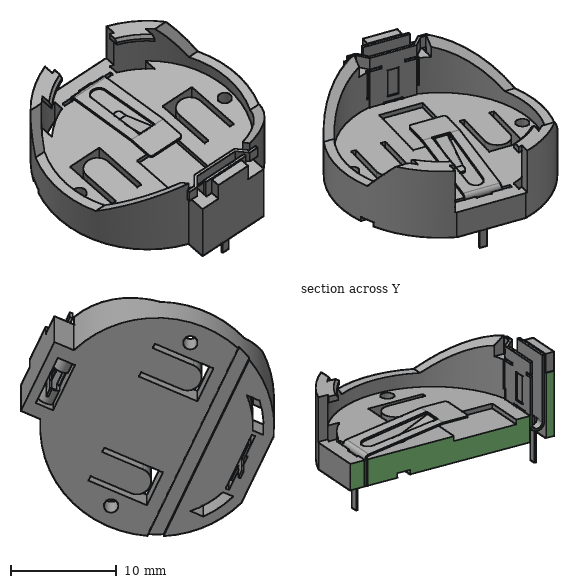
import cadquery as cq
import math


outer_radius = 22.2 / 2
inner_radius = 20.17 / 2
floor_z = 2.82
rim_low_z = 4.28
rim_left_z = 7.49
rim_right_z = 8.82
overall_length = 22.9
left_flat_x = -10.47
right_end_x = left_flat_x + overall_length
left_slope_top_x = -7.15
left_slope_foot_x = -4.47
right_slope_foot_x = 4.33
right_slope_top_x = 10.45
mouth_half_width = 3.85

barb_inner_radius = 9.1
barb_chamfer = 0.3
barb_bottom_z = 6.87
barb_near_y = 3.44
barb_far_y = 6.45

peg_hole_x = 0.66
peg_hole_y = 9.1
peg_hole_diameter = 1.35
u_slot_left_x = -2.4
u_slot_right_x = 3.69
u_slot_centre_y = 5.8
u_slot_width = 3.66
tongue_tip_x = -1.88
tongue_width = 2.68
pocket_left_x = 1.17
pocket_right_x = 8.13
pocket_half_width = 2.31
pocket_depth = 0.5
underside_groove_left_x = -5.13
underside_groove_right_x = -3.73
underside_groove_depth = 0.48

leaf_slot_left_x = -8.85
leaf_slot_right_x = -8.5
leaf_slot_half_width = 3.0
relief_left_x = -9.05
relief_half_width = 0.8

shoulder_z = 6.85
riser_half_width = 1.85
well_right_x = 11.47
side_groove_half_width = 2.8
side_groove_bottom_z = 3.8

pin_bottom_z = -3.1
pin_half_width = 0.4
pin_thickness = 0.2

leaf_half_width = 2.0
leaf_thickness = pin_thickness
leaf_bend_radius = 0.53
leaf_crease_x = -0.07
leaf_tip_x = 2.8
leaf_top_z = 4.55
leaf_slope = 0.15
leaf_corner_radius = 0.35
window_left_x = -7.92
window_left_half_width = 0.82
window_right_half_width = 0.96
finger_root_z = 4.42
finger_root_half_width = 0.73
finger_bend_x = -3.69
finger_tip_x = -4.63
finger_tip_half_width = 0.44
finger_tip_z = floor_z + leaf_thickness

sheet = 0.3
front_plate_x = 9.69
rear_plate_right_x = 11.35
plate_half_width = 2.52
front_plate_top_z = 8.38
wing_bottom_z = 7.1
wing_end_half_width = 4.28
wing_left_x = 10.72
wing_straight_half_width = 3.44
slit_inner_half_width = 1.25
recess_half_width = 0.6
recess_depth = 0.15
recess_bottom_z = 3.48
recess_top_z = 6.43
fold_axis_z = 1.83
fold_gap_half_width = 0.98
fold_gap_top_z = 2.95


def box(x0, x1, y0, y1, z0, z1):
    """Axis-aligned block between two opposite corners."""
    return cq.Workplane("XY").box(x1 - x0, y1 - y0, z1 - z0, centered=False).translate((x0, y0, z0))


def centred_box(x0, x1, half_width, z0, z1):
    """Block that is symmetric about the XZ plane."""
    return box(x0, x1, -half_width, half_width, z0, z1)


def disc(radius, z0, z1):
    return cq.Workplane("XY").workplane(offset=z0).circle(radius).extrude(z1 - z0)


def side_profile(points, half_width):
    """Prism of an XZ outline, symmetric about the XZ plane."""
    return cq.Workplane("XZ").polyline(points).close().extrude(half_width, both=True)


def both_sides(shape):
    """The shape together with its mirror image across the XZ plane."""
    return shape.union(shape.mirror("XZ"))


def cup():
    """Round cup with a stepped, sloping rim and a flat on its left."""
    rim = [
        (-outer_radius, 0),
        (-outer_radius, rim_left_z),
        (left_slope_top_x, rim_left_z),
        (left_slope_foot_x, rim_low_z),
        (right_slope_foot_x, rim_low_z),
        (right_slope_top_x, rim_right_z),
        (outer_radius, rim_right_z),
        (outer_radius, 0),
    ]
    body = disc(outer_radius, 0, rim_right_z).intersect(side_profile(rim, outer_radius))
    body = body.cut(disc(inner_radius, floor_z, rim_right_z))
    body = body.cut(centred_box(-outer_radius, 0, mouth_half_width, floor_z, rim_right_z))
    body = body.cut(centred_box(0, outer_radius, mouth_half_width, shoulder_z, rim_right_z))
    return body.cut(centred_box(-outer_radius, left_flat_x, outer_radius, 0, rim_right_z))


def end_block():
    """Block on the right that carries the rim contact, with a riser behind the contact."""
    shoulder = centred_box(0, right_end_x, mouth_half_width, 0, shoulder_z)
    shoulder = shoulder.cut(disc(inner_radius, 0, shoulder_z))
    riser = centred_box(well_right_x, right_end_x, riser_half_width, 0, rim_right_z)
    return shoulder.union(riser)


def barb_ring(z0, z1):
    """Ring sectors that match the barbs in plan, one on each side."""
    ring = disc(inner_radius, z0, z1).cut(disc(barb_inner_radius, z0, z1))
    return ring.intersect(both_sides(box(-outer_radius, 0, barb_near_y, barb_far_y, z0, z1)))


def barbs():
    """Two lips that hold the cell down, chamfered on the inner top edge."""
    chamfer_cone = cq.Workplane("XY").add(
        cq.Solid.makeCone(
            barb_inner_radius,
            barb_inner_radius + barb_chamfer,
            barb_chamfer,
            pnt=cq.Vector(0, 0, rim_left_z - barb_chamfer),
        )
    )
    return barb_ring(barb_bottom_z, rim_left_z).cut(chamfer_cone)


def u_slot():
    """Slot through the floor around a round-ended tongue."""
    half_slot = u_slot_width / 2
    half_tongue = tongue_width / 2
    slot = box(
        u_slot_left_x, u_slot_right_x, u_slot_centre_y - half_slot, u_slot_centre_y + half_slot, 0, floor_z
    )
    round_x = tongue_tip_x + half_tongue
    tongue = (
        cq.Workplane("XY")
        .moveTo(u_slot_right_x, u_slot_centre_y - half_tongue)
        .lineTo(round_x, u_slot_centre_y - half_tongue)
        .threePointArc((tongue_tip_x, u_slot_centre_y), (round_x, u_slot_centre_y + half_tongue))
        .lineTo(u_slot_right_x, u_slot_centre_y + half_tongue)
        .close()
        .extrude(floor_z)
    )
    return slot.cut(tongue)


def floor_openings():
    peg_hole = disc(peg_hole_diameter / 2, 0, floor_z).translate((peg_hole_x, peg_hole_y, 0))
    pocket = centred_box(pocket_left_x, pocket_right_x, pocket_half_width, floor_z - pocket_depth, floor_z)
    leaf_slot = centred_box(leaf_slot_left_x, leaf_slot_right_x, leaf_slot_half_width, 0, floor_z)
    relief = centred_box(relief_left_x, leaf_slot_left_x, relief_half_width, 0, floor_z)
    groove = centred_box(
        underside_groove_left_x, underside_groove_right_x, outer_radius, 0, underside_groove_depth
    )
    openings = both_sides(u_slot()).union(both_sides(peg_hole)).union(pocket)
    openings = openings.union(leaf_slot).union(relief).union(groove)
    return openings.union(barb_ring(0, floor_z))


def contact_well():
    """Opening through the end block for the rim contact, with a shallow groove beside its front plate."""
    well = centred_box(front_plate_x, well_right_x, plate_half_width, 0, shoulder_z)
    front_plate_back_x = front_plate_x + sheet
    groove = centred_box(0, front_plate_back_x, side_groove_half_width, side_groove_bottom_z, shoulder_z)
    return well.union(groove)


def make_housing():
    return cup().union(end_block()).union(barbs()).cut(floor_openings()).cut(contact_well())


def leaf_strip():
    """Full-width sheet strip: up through the floor, bent over, sloping up to a flat tip."""
    left = leaf_slot_left_x
    right = left + leaf_thickness
    bottom_z = leaf_top_z - leaf_thickness

    def slope_drop(x):
        return leaf_slope * (leaf_crease_x - x)

    strip = side_profile(
        [
            (left, 0),
            (left, leaf_top_z - slope_drop(left)),
            (leaf_crease_x, leaf_top_z),
            (leaf_tip_x, leaf_top_z),
            (leaf_tip_x, bottom_z),
            (leaf_crease_x, bottom_z),
            (right, bottom_z - slope_drop(right)),
            (right, 0),
        ],
        leaf_half_width,
    )
    outer_bend = cq.selectors.NearestToPointSelector((left, 0, leaf_top_z - slope_drop(left)))
    inner_bend = cq.selectors.NearestToPointSelector((right, 0, bottom_z - slope_drop(right)))
    strip = strip.edges("|Y").edges(outer_bend).fillet(leaf_bend_radius)
    strip = strip.edges("|Y").edges(inner_bend).fillet(leaf_bend_radius - leaf_thickness)
    return strip.faces(">X").edges("|Z").fillet(leaf_corner_radius)


def leaf_window():
    """Round-ended, slightly flared window in the sloping part of the strip."""
    round_x = window_left_x + window_left_half_width
    return (
        cq.Workplane("XY")
        .moveTo(leaf_crease_x, -window_right_half_width)
        .lineTo(round_x, -window_left_half_width)
        .threePointArc((window_left_x, 0), (round_x, window_left_half_width))
        .lineTo(leaf_crease_x, window_right_half_width)
        .close()
        .extrude(leaf_top_z)
    )


def leaf_finger():
    """Tapered finger that drops from the edge of the flat tip into the window and ends level."""
    profile = side_profile(
        [
            (leaf_crease_x, finger_root_z),
            (leaf_crease_x, finger_root_z - leaf_thickness),
            (finger_bend_x, finger_tip_z - leaf_thickness),
            (finger_tip_x, finger_tip_z - leaf_thickness),
            (finger_tip_x, finger_tip_z),
            (finger_bend_x, finger_tip_z),
        ],
        finger_root_half_width,
    )
    round_x = finger_tip_x + finger_tip_half_width
    outline = (
        cq.Workplane("XY")
        .moveTo(leaf_crease_x, -finger_root_half_width)
        .lineTo(round_x, -finger_tip_half_width)
        .threePointArc((finger_tip_x, 0), (round_x, finger_tip_half_width))
        .lineTo(leaf_crease_x, finger_root_half_width)
        .close()
        .extrude(leaf_top_z)
    )
    return profile.intersect(outline)


def make_leaf_contact():
    pin = centred_box(leaf_slot_left_x, leaf_slot_left_x + pin_thickness, pin_half_width, pin_bottom_z, 0)
    return leaf_strip().cut(leaf_window()).union(leaf_finger()).union(pin)


def folded_plates():
    """Front and rear plates joined by a half-round fold at the bottom, open in the middle."""
    front_back_x = front_plate_x + sheet
    rear_left_x = rear_plate_right_x - sheet
    fold_x = (front_plate_x + rear_plate_right_x) / 2
    outer_fold = (rear_plate_right_x - front_plate_x) / 2
    inner_fold = outer_fold - sheet
    section = (
        cq.Workplane("XZ")
        .moveTo(front_plate_x, front_plate_top_z)
        .lineTo(front_plate_x, fold_axis_z)
        .threePointArc((fold_x, fold_axis_z - outer_fold), (rear_plate_right_x, fold_axis_z))
        .lineTo(rear_plate_right_x, rim_right_z)
        .lineTo(rear_left_x, rim_right_z)
        .lineTo(rear_left_x, fold_axis_z)
        .threePointArc((fold_x, fold_axis_z - inner_fold), (front_back_x, fold_axis_z))
        .lineTo(front_back_x, front_plate_top_z)
        .close()
        .extrude(plate_half_width, both=True)
    )
    fold_gap = centred_box(front_plate_x, rear_left_x, fold_gap_half_width, 0, fold_gap_top_z)
    rear_gap = centred_box(rear_left_x, rear_plate_right_x, fold_gap_half_width, 0, fold_axis_z)
    return section.cut(fold_gap).cut(rear_gap)


def wing():
    """Strip that leaves the front plate at an angle and ends parallel to it, outside the wall."""
    diagonal_dx = wing_left_x - front_plate_x
    diagonal_dy = wing_straight_half_width - plate_half_width
    mitre = sheet * math.tan(math.atan2(diagonal_dx, diagonal_dy) / 2)
    back_start_y = plate_half_width - mitre
    back_bend_y = wing_straight_half_width - mitre
    outline = [
        (front_plate_x, slit_inner_half_width),
        (front_plate_x, plate_half_width),
        (wing_left_x, wing_straight_half_width),
        (wing_left_x, wing_end_half_width),
        (wing_left_x + sheet, wing_end_half_width),
        (wing_left_x + sheet, back_bend_y),
        (front_plate_x + sheet, back_start_y),
        (front_plate_x + sheet, slit_inner_half_width),
    ]
    height = front_plate_top_z - wing_bottom_z
    return cq.Workplane("XY").workplane(offset=wing_bottom_z).polyline(outline).close().extrude(height)


def make_rim_contact():
    front_back_x = front_plate_x + sheet
    corner_cut = box(
        front_plate_x, front_back_x, slit_inner_half_width, plate_half_width, shoulder_z, front_plate_top_z
    )
    recess = centred_box(
        front_plate_x, front_plate_x + recess_depth, recess_half_width, recess_bottom_z, recess_top_z
    )
    pin = centred_box(
        rear_plate_right_x - pin_thickness, rear_plate_right_x, pin_half_width, pin_bottom_z, fold_axis_z
    )
    plates = folded_plates().cut(both_sides(corner_cut)).cut(recess)
    return plates.union(both_sides(wing())).union(pin)


housing = make_housing()
leaf_contact = make_leaf_contact()
rim_contact = make_rim_contact()

result = cq.Compound.makeCompound(
    [housing.solids().val(), leaf_contact.solids().val(), rim_contact.solids().val()]
)